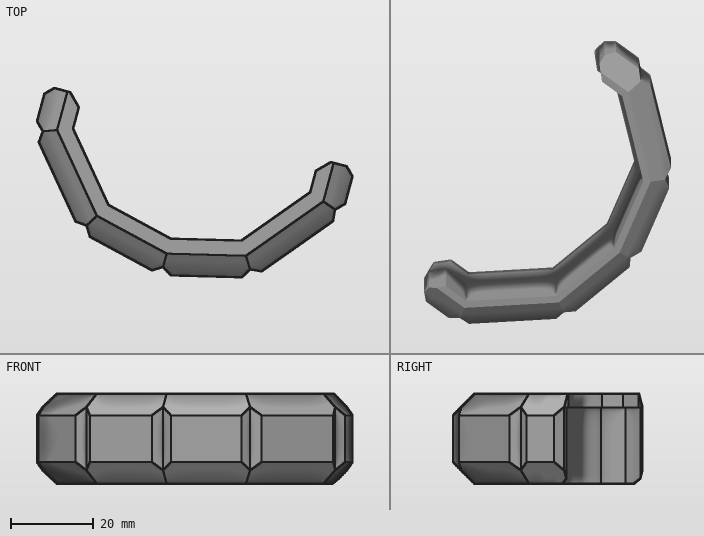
import cadquery as cq
import math

HEIGHT = 22.0
THICKNESS = 9.0
BEVEL = 5.3
LIP_HEIGHT = 3.4
LIP_OVERHANG = 2.0

FOOT = (0.0, 0.0)
KNEE = (16.75, 4.0)
SHOULDER = (29.87, 19.7)
ARM_END_Y = 28.1
BAND_TURN = -15.0

NOTCH = 2.0
END_CHAMFER = 3.0


def inner_wall():
    """Corners of the lip's inner wall, from the left arm end to the right one."""
    right_half = [KNEE, SHOULDER, (SHOULDER[0], ARM_END_Y)]
    left_half = [(-x, y) for x, y in reversed(right_half)]
    return left_half + [FOOT] + right_half


def direction(start, end):
    length = math.dist(start, end)
    return ((end[0] - start[0]) / length, (end[1] - start[1]) / length)


def shifted(point, along, distance):
    return (point[0] + along[0] * distance, point[1] + along[1] * distance)


def outward(along):
    """Normal pointing out of the band for a link running left to right."""
    return (along[1], -along[0])


def offset_wall(wall, distance):
    """The wall moved outward, with mitred corners and square ends."""
    links = [direction(a, b) for a, b in zip(wall, wall[1:])]
    corners = [shifted(wall[0], outward(links[0]), distance)]
    for corner, before, after in zip(wall[1:], links, links[1:]):
        n1 = outward(before)
        n2 = outward(after)
        reach = distance / (1 + n1[0] * n2[0] + n1[1] * n2[1])
        corners.append(shifted(corner, (n1[0] + n2[0], n1[1] + n2[1]), reach))
    corners.append(shifted(wall[-1], outward(links[-1]), distance))
    return corners


def notched_outside(wall):
    """Outer outline: flat link faces joined by V notches, chamfered at both ends."""
    valleys = offset_wall(wall, THICKNESS - NOTCH)
    outline = []
    for start, end in zip(valleys, valleys[1:]):
        along = direction(start, end)
        face_start = shifted(shifted(start, along, NOTCH), outward(along), NOTCH)
        face_end = shifted(shifted(end, along, -NOTCH), outward(along), NOTCH)
        outline += [start, face_start, face_end]
    return outline + [valleys[-1]]


def chamfered_inside(wall, setback):
    """Inner outline lying the setback outside the lip's wall, chamfered at both ends."""
    corners = offset_wall(wall, setback)
    left_x, end_y = corners[0]
    right_x = corners[-1][0]
    chamfer_y = end_y - END_CHAMFER
    left = [(left_x - END_CHAMFER, end_y), (left_x, chamfer_y)]
    right = [(right_x, chamfer_y), (right_x + END_CHAMFER, end_y)]
    return left + corners[1:-1] + right


def band_layer(wall, setback, bottom, top):
    outline = notched_outside(wall) + chamfered_inside(wall, setback)[::-1]
    return cq.Workplane("XY").workplane(offset=bottom).polyline(outline).close().extrude(top - bottom)


def bevel_cutters(start, end):
    """Two long wedges that remove the lower and upper outer edges of one link."""
    along = direction(start, end)
    normal = outward(along)
    overrun = 2 * THICKNESS
    origin = shifted(shifted(start, normal, THICKNESS), along, -overrun)
    plane = cq.Plane(
        origin=(origin[0], origin[1], 0),
        xDir=(normal[0], normal[1], 0),
        normal=(-along[0], -along[1], 0),
    )
    length = math.dist(start, end) + 2 * overrun
    far = 2 * BEVEL
    lower = [(-far, BEVEL - far), (far, BEVEL - far), (far, BEVEL + far)]
    upper = [(x, HEIGHT - z) for x, z in lower]
    wedges = cq.Workplane(plane).polyline(lower).close().extrude(-length)
    return wedges.add(cq.Workplane(plane).polyline(upper).close().extrude(-length))


def build_band():
    wall = inner_wall()
    lip_bottom = HEIGHT - LIP_HEIGHT
    band = band_layer(wall, LIP_OVERHANG, 0, lip_bottom)
    band = band.union(band_layer(wall, 0, lip_bottom, HEIGHT)).clean()
    for start, end in zip(wall, wall[1:]):
        for wedge in bevel_cutters(start, end).vals():
            band = band.cut(cq.Workplane(wedge))
    return band.rotate((0, 0, 0), (0, 0, 1), BAND_TURN)


result = build_band()